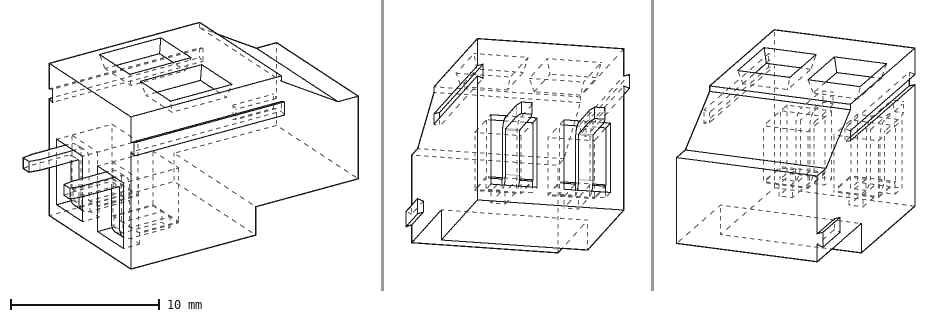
import cadquery as cq
import math


overall_width = 10.95
overall_length = 21.7
height = 11.3
body_width = 10.15
pin_protrusion = 3.5
body_length = overall_length - pin_protrusion
side_projection = (overall_width - body_width) / 2

rear_bottom_z = 2.1
rear_bottom_length = 8.2
rear_top_z = 8.25
rear_top_length = 1.63
slope_top_z = 10.92
upper_block_length = 12.05

pole_pitch = 5.08
pole_positions = [-pole_pitch / 2, pole_pitch / 2]

recess_width = 3.75
recess_length = 4.9
recess_front_y = 3.6
recess_depth = 1.0
recess_taper_angle = 15
recess_wall_inset = recess_depth * math.tan(math.radians(recess_taper_angle))

rail_z = 9.05
rail_neck_height = 0.72
rail_head_height = 0.98

tab_z = 3.73
tab_neck_height = 0.75
tab_head_height = 1.06
tab_length = 3.23

pin_width = 1.0
pin_thickness = 0.8
pin_face_y = 0.41
pin_tip_width = 0.72
pin_tip_length = 0.8
inner_bend_radius = 0.07
outer_bend_radius = pin_thickness + inner_bend_radius

window_width = 3.21
window_bottom_z = 1.17
window_top_z = 6.03

clamp_front_y = pin_face_y + pin_thickness
clamp_depth = 3.21
clamp_back_y = clamp_front_y + clamp_depth
foot_top_z = window_bottom_z + pin_thickness
clamp_bottom_z = window_bottom_z + outer_bend_radius
window_setback = 0.09
window_depth = clamp_front_y + window_setback


def box_between(x_center, width, y_start, y_end, z_start, z_end):
    """Box centred on x_center, with its other four sides placed directly."""
    return cq.Workplane("XY").box(
        width, y_end - y_start, z_end - z_start, centered=(True, False, False)
    ).translate((x_center, y_start, z_start))


def dovetail(wall_x, z_center, neck_height, head_height, y_start, y_end, direction):
    """Bar along Y that widens away from the plane X = wall_x, towards +X or -X."""
    head_x = wall_x + direction * side_projection
    outline = [
        (wall_x, z_center - neck_height / 2),
        (head_x, z_center - head_height / 2),
        (head_x, z_center + head_height / 2),
        (wall_x, z_center + neck_height / 2),
    ]
    bar = cq.Workplane("XZ").polyline(outline).close().extrude(y_start - y_end)
    return bar.translate((0, y_start, 0))


def make_screw_recess(x):
    """Tapered pocket cutter reaching down from the top face."""
    center_y = recess_front_y + recess_length / 2
    return (
        cq.Workplane("XY", origin=(x, center_y, height))
        .rect(recess_width, recess_length)
        .workplane(offset=-recess_depth)
        .rect(recess_width - 2 * recess_wall_inset, recess_length - 2 * recess_wall_inset)
        .loft(ruled=True)
    )


def make_pin(x):
    """Pin bent from strip, with two rounded bends and a tapered tip."""
    tip_y = -pin_protrusion
    tail_bottom_z = window_top_z - pin_thickness
    upper_bend_z = window_top_z - outer_bend_radius
    lower_bend_z = window_bottom_z + outer_bend_radius
    upper_bend_y = pin_face_y - inner_bend_radius
    lower_bend_y = pin_face_y + outer_bend_radius
    side = (
        cq.Workplane("YZ")
        .moveTo(tip_y, window_top_z)
        .lineTo(upper_bend_y, window_top_z)
        .radiusArc((clamp_front_y, upper_bend_z), outer_bend_radius)
        .lineTo(clamp_front_y, lower_bend_z)
        .radiusArc((lower_bend_y, foot_top_z), -inner_bend_radius)
        .lineTo(clamp_back_y, foot_top_z)
        .lineTo(clamp_back_y, window_bottom_z)
        .lineTo(lower_bend_y, window_bottom_z)
        .radiusArc((pin_face_y, lower_bend_z), outer_bend_radius)
        .lineTo(pin_face_y, upper_bend_z)
        .radiusArc((upper_bend_y, tail_bottom_z), -inner_bend_radius)
        .lineTo(tip_y, tail_bottom_z)
        .close()
        .extrude(pin_width / 2, both=True)
    )
    plan = (
        cq.Workplane("XY")
        .polyline([
            (-pin_tip_width / 2, tip_y),
            (pin_tip_width / 2, tip_y),
            (pin_width / 2, tip_y + pin_tip_length),
            (pin_width / 2, clamp_back_y),
            (-pin_width / 2, clamp_back_y),
            (-pin_width / 2, tip_y + pin_tip_length),
        ])
        .close()
        .extrude(height)
    )
    return side.intersect(plan).translate((x, 0, 0))


def make_clamp(x):
    """Plain block just above the foot of the pin."""
    return box_between(x, window_width, clamp_front_y, clamp_back_y, clamp_bottom_z, window_top_z)


def make_housing(pins):
    """Stepped housing with its rail, groove, tab, recesses and pin openings."""
    side_outline = [
        (0, 0),
        (body_length - rear_bottom_length, 0),
        (body_length - rear_bottom_length, rear_bottom_z),
        (body_length, rear_bottom_z),
        (body_length, rear_top_z),
        (body_length - rear_top_length, rear_top_z),
        (upper_block_length, slope_top_z),
        (upper_block_length, height),
        (0, height),
    ]
    housing = cq.Workplane("YZ").polyline(side_outline).close().extrude(body_width / 2, both=True)

    left_x = -body_width / 2
    right_x = body_width / 2
    rail_sizes = (rail_z, rail_neck_height, rail_head_height, 0, upper_block_length)
    tab_start_y = body_length - tab_length
    housing = housing.union(dovetail(right_x, *rail_sizes, direction=1))
    housing = housing.cut(dovetail(left_x, *rail_sizes, direction=1))
    housing = housing.union(
        dovetail(left_x, tab_z, tab_neck_height, tab_head_height, tab_start_y, body_length, direction=-1)
    )

    for x in pole_positions:
        housing = housing.cut(make_screw_recess(x))
        housing = housing.cut(box_between(x, window_width, 0, window_depth, window_bottom_z, window_top_z))
        housing = housing.cut(box_between(x, window_width, 0, clamp_back_y, foot_top_z, window_top_z))
    for pin in pins:
        housing = housing.cut(pin)
    return housing


pins = [make_pin(x) for x in pole_positions]
clamps = [make_clamp(x) for x in pole_positions]
housing = make_housing(pins)

result = cq.Compound.makeCompound(
    [housing.val()] + [pin.val() for pin in pins] + [clamp.val() for clamp in clamps]
)